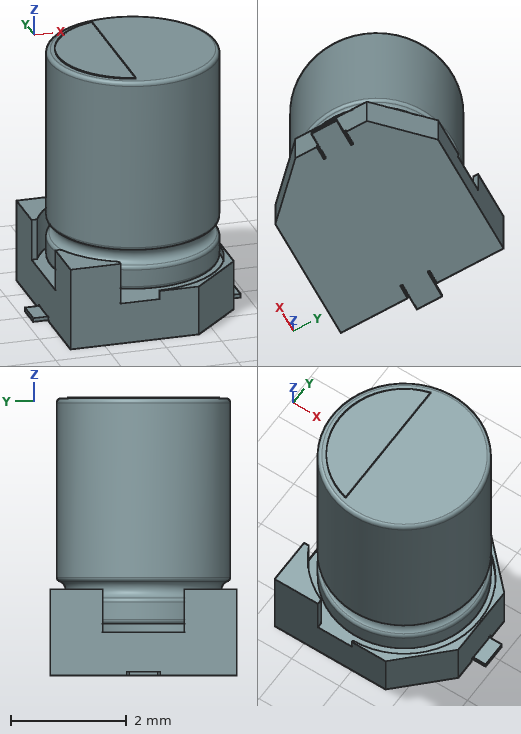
import cadquery as cq
import math

TOTAL_HEIGHT = 4.82
TOTAL_LENGTH = 3.75

BASE_SIZE = 3.23
BASE_CHAMFER = 0.905
POST_HEIGHT = 1.5
POST_LENGTH = 0.905
POST_BORE_RADIUS = 1.673
RIM_HEIGHT = 0.9
RIM_BORE_RADIUS = 1.58
FLOOR_HEIGHT = 0.75

LEAD_WIDTH = 0.5
LEAD_THICKNESS = 0.07
LEAD_SLOT_WIDTH = 0.58

CAN_RADIUS = 1.505
CAN_BOTTOM = RIM_HEIGHT
CAN_EDGE_FILLET = 0.07
GROOVE_RADIUS = 0.15
GROOVE_HEIGHT = 1.495
MARK_THICKNESS = 0.02
MARK_RADIUS = 1.35
MARK_EDGE_X = -0.335

HALF_BASE = BASE_SIZE / 2
LEAD_PROJECTION = (TOTAL_LENGTH - BASE_SIZE) / 2
LEAD_SLOT_DEPTH = LEAD_PROJECTION
CAN_TOP = TOTAL_HEIGHT - MARK_THICKNESS


def box(x_min, x_max, width, z_min, z_max):
    """Box between two X positions and two heights, centred on Y = 0."""
    return (
        cq.Workplane("XY", origin=((x_min + x_max) / 2, 0, z_min))
        .rect(x_max - x_min, width)
        .extrude(z_max - z_min)
    )


def cylinder(radius, z_min, z_max):
    """Upright cylinder on the can axis."""
    return cq.Workplane("XY", origin=(0, 0, z_min)).circle(radius).extrude(z_max - z_min)


def make_base_block():
    """Square block up to the post tops, with the two +X corners cut off."""
    block = box(-HALF_BASE, HALF_BASE, BASE_SIZE, 0, POST_HEIGHT)
    return block.edges("|Z and >X").chamfer(BASE_CHAMFER)


def make_seat_clearance():
    """Material cut away above the floor, leaving the corner posts and the rim."""
    post_inner_x = -HALF_BASE + POST_LENGTH
    gap_between_posts = BASE_SIZE - 2 * POST_LENGTH

    post_gap = box(-HALF_BASE, 0, gap_between_posts, FLOOR_HEIGHT, POST_HEIGHT)
    side_notches = box(post_inner_x, 0, BASE_SIZE, FLOOR_HEIGHT, POST_HEIGHT)
    post_bore = cylinder(POST_BORE_RADIUS, FLOOR_HEIGHT, POST_HEIGHT).intersect(
        box(-HALF_BASE, 0, BASE_SIZE, FLOOR_HEIGHT, POST_HEIGHT)
    )
    rim_bore = cylinder(RIM_BORE_RADIUS, FLOOR_HEIGHT, RIM_HEIGHT)
    above_rim = box(0, HALF_BASE, BASE_SIZE, RIM_HEIGHT, POST_HEIGHT)
    return post_gap.union(side_notches).union(post_bore).union(rim_bore).union(above_rim)


def add_lead(base, side):
    """Cut the slot at one end of the base (side is -1 for -X, +1 for +X) and join the lead in its middle."""
    slot_end = side * (HALF_BASE - LEAD_SLOT_DEPTH)
    face = side * HALF_BASE
    tip = side * (HALF_BASE + LEAD_PROJECTION)
    slot = box(min(slot_end, face), max(slot_end, face), LEAD_SLOT_WIDTH, 0, LEAD_THICKNESS)
    lead = box(min(slot_end, tip), max(slot_end, tip), LEAD_WIDTH, 0, LEAD_THICKNESS)
    return base.cut(slot).union(lead)


def make_base():
    base = make_base_block().cut(make_seat_clearance())
    for side in (-1, 1):
        base = add_lead(base, side)
    return base


def make_can():
    """Turned can with a rolled groove and rounded edges, plus the polarity mark."""
    rounding_center_radius = CAN_RADIUS - CAN_EDGE_FILLET
    center_distance = GROOVE_RADIUS + CAN_EDGE_FILLET
    rounding_offset = math.sqrt(center_distance**2 - CAN_EDGE_FILLET**2)
    touch_fraction = GROOVE_RADIUS / center_distance
    touch_radius = CAN_RADIUS - CAN_EDGE_FILLET * touch_fraction
    touch_offset = rounding_offset * touch_fraction
    groove_bottom_radius = CAN_RADIUS - GROOVE_RADIUS

    profile = (
        cq.Workplane("XZ")
        .moveTo(0, CAN_BOTTOM)
        .lineTo(rounding_center_radius, CAN_BOTTOM)
        .radiusArc((CAN_RADIUS, CAN_BOTTOM + CAN_EDGE_FILLET), -CAN_EDGE_FILLET)
        .lineTo(CAN_RADIUS, GROOVE_HEIGHT - rounding_offset)
        .radiusArc((touch_radius, GROOVE_HEIGHT - touch_offset), -CAN_EDGE_FILLET)
        .radiusArc((groove_bottom_radius, GROOVE_HEIGHT), GROOVE_RADIUS)
        .radiusArc((touch_radius, GROOVE_HEIGHT + touch_offset), GROOVE_RADIUS)
        .radiusArc((CAN_RADIUS, GROOVE_HEIGHT + rounding_offset), -CAN_EDGE_FILLET)
        .lineTo(CAN_RADIUS, CAN_TOP - CAN_EDGE_FILLET)
        .radiusArc((rounding_center_radius, CAN_TOP), -CAN_EDGE_FILLET)
        .lineTo(0, CAN_TOP)
        .close()
    )
    can = profile.revolve(360, (0, 0, 0), (0, 1, 0))
    mark = cylinder(MARK_RADIUS, CAN_TOP, TOTAL_HEIGHT).intersect(
        box(-MARK_RADIUS, MARK_EDGE_X, 2 * MARK_RADIUS, CAN_TOP, TOTAL_HEIGHT)
    )
    return can.union(mark)


base = make_base()
can = make_can()

result = cq.Compound.makeCompound([base.val(), can.val()])